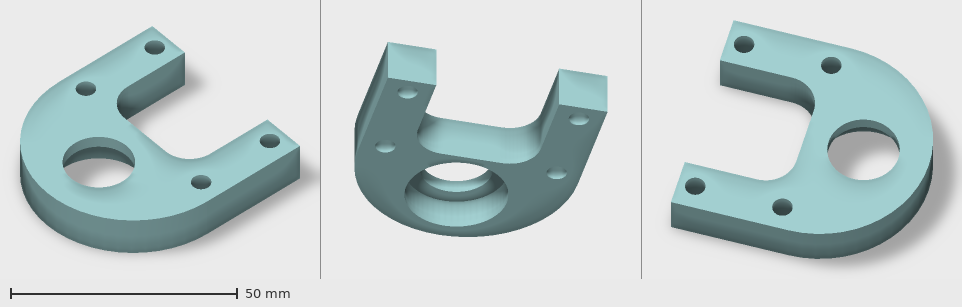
import cadquery as cq

length = 52.0
width = 50.0
thickness = 10.0
end_radius = width / 2
end_center_y = end_radius - length / 2

slot_width = 28.0
slot_depth = 23.6
slot_corner_radius = 7.0

bore_diameter = 16.0
recess_diameter = 23.0
lip_thickness = 3.0
recess_depth = thickness - lip_thickness
bore_edge_distance = 15.0
bore_y = bore_edge_distance - length / 2

hole_diameter = 4.5
hole_spacing_x = 39.0
hole_spacing_y = 20.0
hole_end_distance = 4.0
hole_center_y = length / 2 - hole_end_distance - hole_spacing_y / 2


def make_plate():
    """Plate with a square end at +Y and a full-round end at -Y."""
    return (
        cq.Workplane("XY")
        .moveTo(-width / 2, length / 2)
        .lineTo(-width / 2, end_center_y)
        .threePointArc((0, -length / 2), (width / 2, end_center_y))
        .lineTo(width / 2, length / 2)
        .close()
        .extrude(thickness)
    )


def make_slot():
    """Slot open at +Y, with rounded corners at its closed end."""
    return (
        cq.Workplane("XY")
        .center(0, (length - slot_depth) / 2)
        .rect(slot_width, slot_depth)
        .extrude(thickness)
        .edges("|Z and <Y")
        .fillet(slot_corner_radius)
    )


def make_bore():
    """Through bore with a wider round recess open at the bottom face."""
    center = cq.Workplane("XY").center(0, bore_y)
    bore = center.circle(bore_diameter / 2).extrude(thickness)
    recess = center.circle(recess_diameter / 2).extrude(recess_depth)
    return bore.union(recess)


def make_mounting_holes():
    return (
        cq.Workplane("XY")
        .center(0, hole_center_y)
        .rect(hole_spacing_x, hole_spacing_y, forConstruction=True)
        .vertices()
        .circle(hole_diameter / 2)
        .extrude(thickness)
    )


result = make_plate().cut(make_slot()).cut(make_bore()).cut(make_mounting_holes())